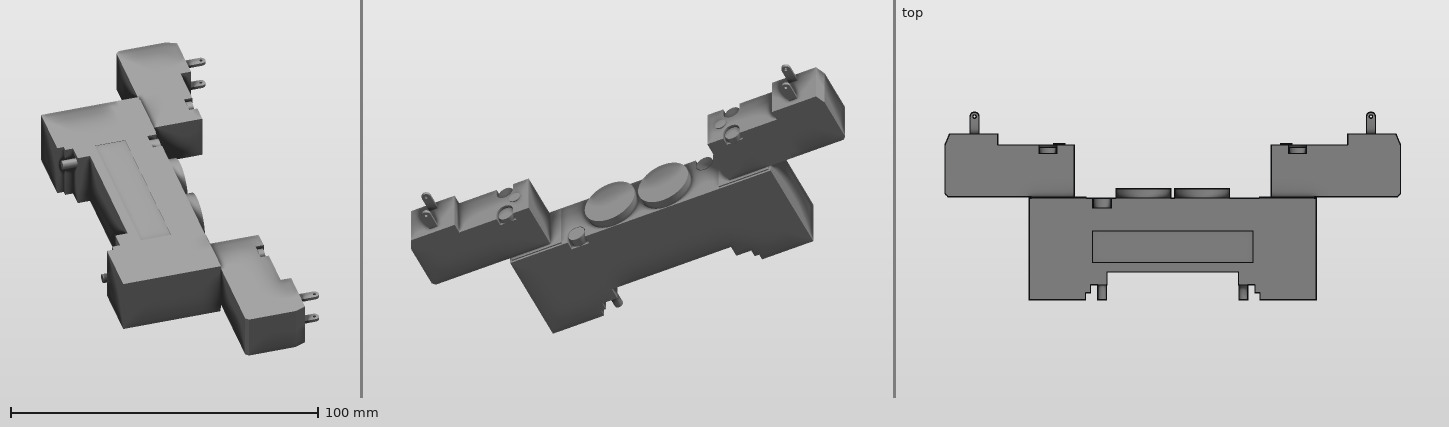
import cadquery as cq

SIDES = (-1, 1)

housing_length = 93.4
housing_depth = 33.0
housing_height = 18.5
recess_steps = ((28.3, 2.2), (26.7, 4.9), (21.3, 9.0))

land_inset = 0.7
land_length = 17.8
land_height = housing_height - 2 * land_inset
land_thickness = 0.5

boss_diameter = 18.0
boss_spacing = 19.1
boss_length = 3.1

label_length = 52.2
label_front = 12.2
label_width = 10.2
label_depth = 0.1

screw_x = 23.0
screw_z = 6.2
screw_shank_diameter = 3.0
screw_head_diameter = 5.8
screw_head_length = 3.1
head_clearance = 0.22

overall_length = 148.2
solenoid_inner_x = 32.0
solenoid_outer_x = overall_length / 2
solenoid_height = 14.8
solenoid_front = housing_depth + land_thickness
solenoid_step_x = 56.9
solenoid_low_rear = 50.4
solenoid_high_rear = 54.0
front_chamfer = 1.0
rear_chamfer_x = 1.5
rear_chamfer_y = 3.5

coil_screw_x = 40.6
coil_screw_z = 5.0
coil_head_diameter = 5.3
coil_head_length = 2.0
coil_slot_depth = 2.8

button_x = 36.9
button_diameter = 3.9
button_length = 0.5

blade_x = 64.5
blade_z = 4.6
blade_width = 3.0
blade_thickness = 1.0
blade_tip_y = 61.0
blade_hole_diameter = 1.0


def box(x_range, y_range, z_range):
    """Box between the given limits along each axis."""
    sizes = [high - low for low, high in (x_range, y_range, z_range)]
    corner = (x_range[0], y_range[0], z_range[0])
    return cq.Workplane("XY").box(*sizes, centered=False).translate(corner)


def cylinder_y(x, z, diameter, y_start, y_end):
    """Cylinder along Y between two depths."""
    axis_start = cq.Workplane("XZ", origin=(x, y_start, z))
    return axis_start.circle(diameter / 2).extrude(y_start - y_end)


def head_slot(x, z, width, y_start, y_end, z_open):
    """Round-bottomed slot for a screw head, open to the face at z_open."""
    round_end = cylinder_y(x, z, width, y_start, y_end)
    z_range = (min(z, z_open), max(z, z_open))
    return round_end.union(box((x - width / 2, x + width / 2), (y_start, y_end), z_range))


def make_screw(side):
    """Housing screw: head flush with the rear face, tip level with the mounting face."""
    x = side * screw_x
    z = -side * screw_z
    head_front = housing_depth - screw_head_length
    shank = cylinder_y(x, z, screw_shank_diameter, 0, head_front)
    return shank.union(cylinder_y(x, z, screw_head_diameter, head_front, housing_depth))


def make_block():
    """Housing block with the stepped recess in its mounting face."""
    full_length = (-housing_length / 2, housing_length / 2)
    full_height = (-housing_height / 2, housing_height / 2)
    block = box(full_length, (0, housing_depth), full_height)
    for half_width, depth in recess_steps:
        block = block.cut(box((-half_width, half_width), (0, depth), full_height))
    return block


def make_label_recess():
    return box(
        (-label_length / 2, label_length / 2),
        (label_front, label_front + label_width),
        (housing_height / 2 - label_depth, housing_height / 2),
    )


def make_land(side):
    """Thin raised land between the housing and a solenoid."""
    outer_x = side * (housing_length / 2 - land_inset)
    inner_x = outer_x - side * land_length
    return box(
        (min(outer_x, inner_x), max(outer_x, inner_x)),
        (housing_depth, solenoid_front),
        (-land_height / 2, land_height / 2),
    )


def make_boss(side):
    boss_end = housing_depth + boss_length
    return cylinder_y(side * boss_spacing / 2, 0, boss_diameter, housing_depth, boss_end)


def make_screw_hole(side):
    """Through hole with a head slot, open to the nearer of the top and bottom faces."""
    x = side * screw_x
    z = -side * screw_z
    z_open = -side * housing_height / 2
    slot_width = screw_head_diameter + 2 * head_clearance
    slot_front = housing_depth - screw_head_length
    hole = cylinder_y(x, z, screw_shank_diameter, 0, housing_depth)
    return hole.union(head_slot(x, z, slot_width, slot_front, housing_depth, z_open))


def make_housing():
    body = make_block().cut(make_label_recess())
    for side in SIDES:
        body = body.union(make_land(side)).union(make_boss(side))
        body = body.cut(make_screw_hole(side))
    return body


def make_blade(z):
    """Contact blade of the right-hand solenoid, with a rounded tip drilled at its centre."""
    tip_centre_y = blade_tip_y - blade_width / 2
    z_bottom = z - blade_thickness / 2
    flat = box(
        (blade_x - blade_width / 2, blade_x + blade_width / 2),
        (solenoid_high_rear, tip_centre_y),
        (z_bottom, z_bottom + blade_thickness),
    )
    tip_centre = cq.Workplane("XY", origin=(blade_x, tip_centre_y, z_bottom))
    round_tip = tip_centre.circle(blade_width / 2).extrude(blade_thickness)
    hole = tip_centre.circle(blade_hole_diameter / 2).extrude(blade_thickness)
    return flat.union(round_tip).cut(hole)


def make_right_solenoid():
    half_height = solenoid_height / 2
    outline = [
        (solenoid_inner_x, solenoid_front),
        (solenoid_outer_x - front_chamfer, solenoid_front),
        (solenoid_outer_x, solenoid_front + front_chamfer),
        (solenoid_outer_x, solenoid_high_rear - rear_chamfer_y),
        (solenoid_outer_x - rear_chamfer_x, solenoid_high_rear),
        (solenoid_step_x, solenoid_high_rear),
        (solenoid_step_x, solenoid_low_rear),
        (solenoid_inner_x, solenoid_low_rear),
    ]
    base = cq.Workplane("XY", origin=(0, 0, -half_height))
    body = base.polyline(outline).close().extrude(solenoid_height)

    slot_width = coil_head_diameter + 2 * head_clearance
    slot_front = solenoid_low_rear - coil_slot_depth
    head_rear = slot_front + coil_head_length
    for side in SIDES:
        z = side * coil_screw_z
        z_open = side * half_height
        body = body.cut(head_slot(coil_screw_x, z, slot_width, slot_front, solenoid_low_rear, z_open))
        body = body.union(cylinder_y(coil_screw_x, z, coil_head_diameter, slot_front, head_rear))
        body = body.union(make_blade(side * blade_z))

    button_end = solenoid_low_rear + button_length
    return body.union(cylinder_y(button_x, 0, button_diameter, solenoid_low_rear, button_end))


def make_solenoid(side):
    """Solenoid at the left (side = -1) or right (side = 1) end."""
    solenoid = make_right_solenoid()
    return solenoid if side > 0 else solenoid.mirror("YZ")


housing = make_housing()
screws = [make_screw(side) for side in SIDES]
solenoids = [make_solenoid(side) for side in SIDES]

result = cq.Compound.makeCompound([housing.val(), *[body.val() for body in screws + solenoids]])